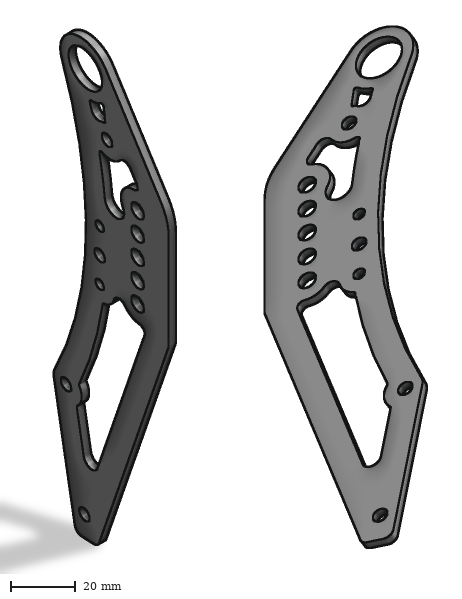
import cadquery as cq
import math

THICKNESS = 3.0
WIDTH = 55.03

HUB_BORE = 16.0
ROW_BORE = 6.0
SCREW_BORE = 5.0
PIN_BORE = 4.0

HUB = (0.0, 0.0)
UPPER_SCREW = (10.4, -22.9)
ROW_X = 25.0
ROW_TOP = -42.5
ROW_PITCH = 10.0
ROW_COUNT = 5
PIN_X = 6.9
PIN_PITCH = 12.5
PIN_TOP = -62.5
KNEE = (-9.2, -142.3)
FOOT = (-0.4, -191.6)
ROW = [(ROW_X, ROW_TOP - index * ROW_PITCH) for index in range(ROW_COUNT)]
PINS = [(PIN_X, PIN_TOP), (PIN_X, PIN_TOP - 2 * PIN_PITCH)]
MIDDLE_SCREW = (PIN_X, PIN_TOP - PIN_PITCH)

HUB_RADIUS = 12.0
KNEE_RADIUS = 6.0
BACK_RADIUS = 181.0
RIGHT_X = KNEE[0] - KNEE_RADIUS + WIDTH
UPPER_TILT = 35.2
LOWER_TILT = 17.0
LOWER_BEND_Z = -90.0
FOOT_LENGTH = 10.0
SHOULDER_FILLET = 20.0
FOOT_FILLET = 3.0

RIB = 10.0
HOLE_WALL = 5.0
PEAK_RADIUS = 3.0
SLOT_END_RADIUS = 3.3
SLOT_SHOULDER_RADIUS = 2.3
POCKET_END_RADIUS = 4.6
POCKET_PEAK_RADIUS = 3.0
POCKET_ROW_CORNER_RADIUS = 2.0
CORNER_RADIUS = 1.0

SMALL_WALL = 4.0
SMALL_BACK_RADIUS = 3.0
SMALL_CORNER_RADIUS = 0.8
SMALL_SIDE_POINT = (8.6, -9.0)
SMALL_SIDE_TILT = 7.6


def step(point, direction, distance):
    """Point reached by going a distance along a direction."""
    return (point[0] + distance * direction[0], point[1] + distance * direction[1])


def toward(start, end):
    """Unit vector from start to end."""
    length = math.dist(start, end)
    return ((end[0] - start[0]) / length, (end[1] - start[1]) / length)


def circles_meet(center_a, radius_a, center_b, radius_b):
    """Crossing of two circles that lies to the right when going from centre a to centre b."""
    gap = math.dist(center_a, center_b)
    along = (gap**2 + radius_a**2 - radius_b**2) / (2 * gap)
    ux, uz = toward(center_a, center_b)
    return step(step(center_a, (ux, uz), along), (uz, -ux), math.sqrt(radius_a**2 - along**2))


def line_meets_circle(point, direction, center, radius):
    """First crossing with a circle when going along a line in its direction."""
    along = (center[0] - point[0]) * direction[0] + (center[1] - point[1]) * direction[1]
    foot = step(point, direction, along)
    return step(foot, direction, -math.sqrt(radius**2 - math.dist(foot, center) ** 2))


def lines_meet(point_a, dir_a, point_b, dir_b):
    """Crossing of two lines, each given by a point and a direction."""
    cross = dir_a[0] * dir_b[1] - dir_a[1] * dir_b[0]
    dx, dz = point_b[0] - point_a[0], point_b[1] - point_a[1]
    return step(point_a, dir_a, (dx * dir_b[1] - dz * dir_b[0]) / cross)


def arc_to(path, start, center, end):
    """Add the shorter arc about a centre, from the path's current point (start) to the end point."""
    chord_middle = ((start[0] + end[0]) / 2, (start[1] + end[1]) / 2)
    middle = step(center, toward(center, chord_middle), math.dist(center, end))
    return path.threePointArc(middle, end)


def begin(point):
    return cq.Workplane("XZ").moveTo(*point)


def plate(path):
    """Close the outline and extrude it toward +Y by the plate thickness."""
    return path.close().extrude(-THICKNESS)


def round_corner(body, corner, radius):
    """Fillet the through-thickness edge nearest to a corner of the outline."""
    middle = (corner[0], THICKNESS / 2, corner[1])
    return body.edges("|Y").edges(cq.NearestToPointSelector(middle)).fillet(radius)


BACK_CENTER = circles_meet(HUB, BACK_RADIUS + HUB_RADIUS, KNEE, BACK_RADIUS + KNEE_RADIUS)
UPPER_DIR = (math.sin(math.radians(UPPER_TILT)), -math.cos(math.radians(UPPER_TILT)))
UPPER_NORMAL = (-UPPER_DIR[1], UPPER_DIR[0])
LOWER_DIR = (-math.sin(math.radians(LOWER_TILT)), -math.cos(math.radians(LOWER_TILT)))
LOWER_NORMAL = (-LOWER_DIR[1], LOWER_DIR[0])
SHIN_DIR = toward(KNEE, FOOT)
SHIN_NORMAL = (-SHIN_DIR[1], SHIN_DIR[0])
LOWER_BEND = (RIGHT_X, LOWER_BEND_Z)
INNER_BACK_RADIUS = BACK_RADIUS + RIB
SCREW_CLEAR = SCREW_BORE / 2 + HOLE_WALL
ROW_CLEAR = ROW_BORE / 2 + HOLE_WALL
PIN_CLEAR = PIN_BORE / 2 + HOLE_WALL


def outer_plate():
    hub_right = step(HUB, UPPER_NORMAL, HUB_RADIUS)
    hub_left = step(HUB, toward(HUB, BACK_CENTER), HUB_RADIUS)
    hub_top = (HUB[0], HUB[1] + HUB_RADIUS)
    shoulder = lines_meet(hub_right, UPPER_DIR, LOWER_BEND, (0, 1))
    foot_end = step(FOOT, SHIN_DIR, FOOT_LENGTH)
    foot_right = lines_meet(LOWER_BEND, LOWER_DIR, foot_end, SHIN_NORMAL)
    foot_left = step(foot_end, SHIN_NORMAL, -KNEE_RADIUS)
    knee_low = step(KNEE, SHIN_NORMAL, -KNEE_RADIUS)
    knee_high = step(KNEE, toward(KNEE, BACK_CENTER), KNEE_RADIUS)

    path = begin(hub_right).lineTo(*shoulder).lineTo(*LOWER_BEND)
    path = path.lineTo(*foot_right).lineTo(*foot_left).lineTo(*knee_low)
    path = arc_to(path, knee_low, KNEE, knee_high)
    path = arc_to(path, knee_high, BACK_CENTER, hub_left)
    path = path.threePointArc(hub_top, hub_right)
    body = plate(path)
    body = round_corner(body, shoulder, SHOULDER_FILLET)
    for corner in (foot_left, foot_right):
        body = round_corner(body, corner, FOOT_FILLET)
    return body


def long_slot():
    """Window between the knee, the lowest pin hole and the lowest row hole."""
    pin, row = PINS[-1], ROW[-1]
    peak = circles_meet(pin, PIN_CLEAR + PEAK_RADIUS, row, ROW_CLEAR + PEAK_RADIUS)
    peak_left = step(pin, toward(pin, peak), PIN_CLEAR)
    peak_right = step(row, toward(row, peak), ROW_CLEAR)
    peak_top = (peak[0], peak[1] + PEAK_RADIUS)
    right_point = step(LOWER_BEND, LOWER_NORMAL, -RIB)
    left_point = step(KNEE, SHIN_NORMAL, RIB - KNEE_RADIUS)
    bottom = lines_meet(right_point, LOWER_DIR, left_point, SHIN_DIR)
    up_right = (-LOWER_DIR[0], -LOWER_DIR[1])
    up_left = (-SHIN_DIR[0], -SHIN_DIR[1])
    shoulder = line_meets_circle(bottom, up_right, row, ROW_CLEAR)
    knee_low = line_meets_circle(bottom, up_left, KNEE, SCREW_CLEAR)
    knee_high = circles_meet(KNEE, SCREW_CLEAR, BACK_CENTER, INNER_BACK_RADIUS)
    pin_corner = circles_meet(BACK_CENTER, INNER_BACK_RADIUS, pin, PIN_CLEAR)

    path = arc_to(begin(peak_right), peak_right, row, shoulder)
    path = path.lineTo(*bottom).lineTo(*knee_low)
    path = arc_to(path, knee_low, KNEE, knee_high)
    path = arc_to(path, knee_high, BACK_CENTER, pin_corner)
    path = arc_to(path, pin_corner, pin, peak_left)
    path = path.threePointArc(peak_top, peak_right)
    body = plate(path)
    body = round_corner(body, bottom, SLOT_END_RADIUS)
    body = round_corner(body, shoulder, SLOT_SHOULDER_RADIUS)
    for corner in (knee_low, knee_high, pin_corner):
        body = round_corner(body, corner, CORNER_RADIUS)
    return body


def upper_pocket():
    """Bent window between the upper screw hole and the first row hole."""
    row = ROW[0]
    end = circles_meet(
        BACK_CENTER, INNER_BACK_RADIUS + POCKET_END_RADIUS, row, ROW_CLEAR + POCKET_END_RADIUS
    )
    end_left = step(BACK_CENTER, toward(BACK_CENTER, end), INNER_BACK_RADIUS)
    end_right = step(row, toward(row, end), ROW_CLEAR)
    end_bottom = (end[0], end[1] - POCKET_END_RADIUS)
    right_point = step(HUB, UPPER_NORMAL, HUB_RADIUS - RIB)
    up = (-UPPER_DIR[0], -UPPER_DIR[1])
    row_corner = line_meets_circle(right_point, UPPER_DIR, row, ROW_CLEAR)
    peak = line_meets_circle(row_corner, up, UPPER_SCREW, SCREW_CLEAR)
    back_corner = circles_meet(BACK_CENTER, INNER_BACK_RADIUS, UPPER_SCREW, SCREW_CLEAR)

    path = arc_to(begin(back_corner), back_corner, UPPER_SCREW, peak)
    path = path.lineTo(*row_corner)
    path = arc_to(path, row_corner, row, end_right)
    path = path.threePointArc(end_bottom, end_left)
    path = arc_to(path, end_left, BACK_CENTER, back_corner)
    body = plate(path)
    body = round_corner(body, peak, POCKET_PEAK_RADIUS)
    body = round_corner(body, row_corner, POCKET_ROW_CORNER_RADIUS)
    return round_corner(body, back_corner, CORNER_RADIUS)


def small_window():
    """Four-sided window between the hub bore and the upper screw hole."""
    hub_clear = HUB_BORE / 2 + SMALL_WALL
    screw_clear = SCREW_BORE / 2 + SMALL_WALL
    tilt = math.radians(SMALL_SIDE_TILT)
    down = (math.sin(tilt), -math.cos(tilt))
    up = (-down[0], -down[1])
    bend = circles_meet(
        UPPER_SCREW, screw_clear + SMALL_BACK_RADIUS, BACK_CENTER, INNER_BACK_RADIUS + SMALL_BACK_RADIUS
    )
    bend_high = step(BACK_CENTER, toward(BACK_CENTER, bend), INNER_BACK_RADIUS)
    bend_low = step(UPPER_SCREW, toward(UPPER_SCREW, bend), screw_clear)
    back_corner = circles_meet(BACK_CENTER, INNER_BACK_RADIUS, HUB, hub_clear)
    side_low = line_meets_circle(SMALL_SIDE_POINT, down, UPPER_SCREW, screw_clear)
    side_high = line_meets_circle(side_low, up, HUB, hub_clear)

    path = arc_to(begin(back_corner), back_corner, HUB, side_high)
    path = path.lineTo(*side_low)
    path = arc_to(path, side_low, UPPER_SCREW, bend_low)
    path = arc_to(path, bend_low, bend, bend_high)
    path = arc_to(path, bend_high, BACK_CENTER, back_corner)
    body = plate(path)
    for corner in (back_corner, side_high, side_low):
        body = round_corner(body, corner, SMALL_CORNER_RADIUS)
    return body


def holes(centers, diameter):
    return cq.Workplane("XZ").pushPoints(centers).circle(diameter / 2).extrude(-THICKNESS)


result = outer_plate()
for centers, diameter in (
    ([HUB], HUB_BORE),
    (ROW, ROW_BORE),
    ([UPPER_SCREW, MIDDLE_SCREW, KNEE, FOOT], SCREW_BORE),
    (PINS, PIN_BORE),
):
    result = result.cut(holes(centers, diameter))
for window in (long_slot(), upper_pocket(), small_window()):
    result = result.cut(window)
result = result.solids()